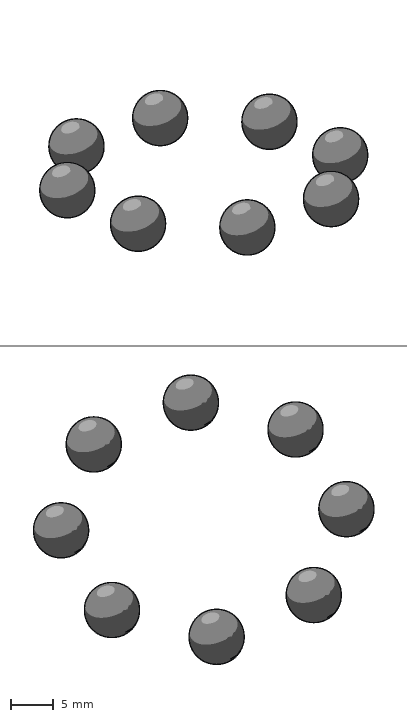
import cadquery as cq
import math

BALL_COUNT = 8
BALL_DIAMETER = 6.5
RING_OUTER_DIAMETER = 40.0
PITCH_RADIUS = (RING_OUTER_DIAMETER - BALL_DIAMETER) / 2


def make_ball(index):
    """One ball on the pitch circle; ball 0 lies on +X."""
    angle = 2 * math.pi * index / BALL_COUNT
    center = (PITCH_RADIUS * math.cos(angle), PITCH_RADIUS * math.sin(angle), 0)
    return cq.Workplane("XY").sphere(BALL_DIAMETER / 2).translate(center)


balls = [make_ball(index) for index in range(BALL_COUNT)]

result = cq.Compound.makeCompound([ball.val() for ball in balls])